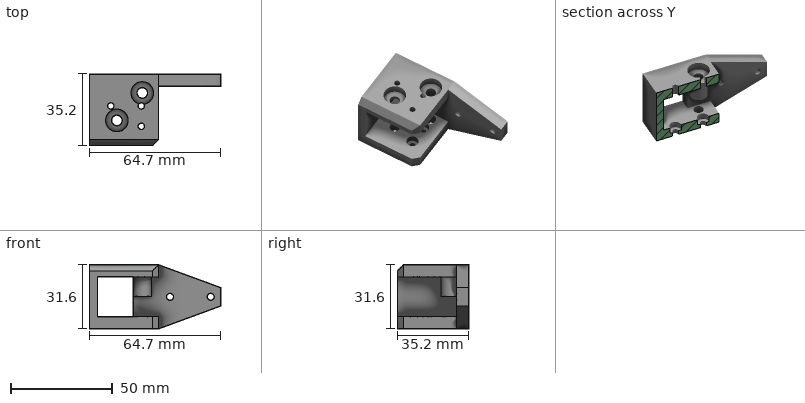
import cadquery as cq

BODY_LENGTH = 34.0
BODY_DEPTH = 35.2
BODY_HEIGHT = 31.6
PLATE_THICKNESS = 6.0
SIDE_WALL_THICKNESS = 4.0
BACK_WALL_THICKNESS = 6.0
CHAMFER = 3.0

TOTAL_LENGTH = 64.65
ARM_END_HEIGHT = 9.1
ARM_HOLE_DIAMETER = 3.3
ARM_HOLE_END_MARGIN = 5.0
ARM_HOLE_SPACING = 20.0

REAR_SHAFT = (26.0, 25.9)
FRONT_SHAFT = (13.5, 12.4)
SHAFT_HOLE_DIAMETER = 5.1
BEARING_DIAMETER = 11.1
BEARING_DEPTH = 4.2
SHAFT_BOSS_DIAMETER = 9.0
SHAFT_BOSS_BOTTOM_Z = 16.0

SCREW_CORNER = (25.5, 19.5)
SCREW_SPACING_X = 15.0
SCREW_SPACING_Y = 10.0
SCREW_DIAMETER = 3.0
SCREW_HEAD_DIAMETER = 6.0
SCREW_HEAD_DEPTH = 3.4

MID_HEIGHT = BODY_HEIGHT / 2
UPPER_PLATE_Z = BODY_HEIGHT - PLATE_THICKNESS
BACK_WALL_Y = BODY_DEPTH - BACK_WALL_THICKNESS
POST_START_X = REAR_SHAFT[0] - SHAFT_BOSS_DIAMETER / 2
SCREW_POINTS = [
    SCREW_CORNER,
    (SCREW_CORNER[0] - SCREW_SPACING_X, SCREW_CORNER[1]),
    (SCREW_CORNER[0], SCREW_CORNER[1] - SCREW_SPACING_Y),
]


def box_between(low, high):
    """Box spanning two opposite corners."""
    size = [end - start for start, end in zip(low, high)]
    return cq.Workplane("XY").box(*size, centered=False).translate(low)


def vertical_cylinders(points, diameter, bottom_z, top_z):
    """Upright cylinders on the given XY centres."""
    plane = cq.Workplane("XY").workplane(offset=bottom_z)
    return plane.pushPoints(points).circle(diameter / 2).extrude(top_z - bottom_z)


def make_body():
    """Block with chamfered front edges, hollowed between the two plates."""
    body = box_between((0, 0, 0), (BODY_LENGTH, BODY_DEPTH, BODY_HEIGHT))
    body = body.edges("|Z and >X and <Y").chamfer(CHAMFER)

    edge_wedge = (
        cq.Workplane("YZ")
        .moveTo(0, BODY_HEIGHT)
        .lineTo(CHAMFER, BODY_HEIGHT)
        .lineTo(0, BODY_HEIGHT - CHAMFER)
        .close()
        .extrude(BODY_LENGTH)
    )
    interior = box_between(
        (SIDE_WALL_THICKNESS, 0, PLATE_THICKNESS),
        (BODY_LENGTH, BACK_WALL_Y, UPPER_PLATE_Z),
    )
    back_window = box_between(
        (SIDE_WALL_THICKNESS, BACK_WALL_Y, PLATE_THICKNESS),
        (POST_START_X, BODY_DEPTH, UPPER_PLATE_Z),
    )
    return body.cut(edge_wedge).cut(interior).cut(back_window)


def make_arm():
    """Symmetric tapered plate with two cross holes on its centreline."""
    half_end = ARM_END_HEIGHT / 2
    outer_hole_x = TOTAL_LENGTH - ARM_HOLE_END_MARGIN
    hole_points = [
        (outer_hole_x, MID_HEIGHT),
        (outer_hole_x - ARM_HOLE_SPACING, MID_HEIGHT),
    ]
    back_plane = cq.Workplane("XZ", origin=(0, BODY_DEPTH, 0))
    arm = (
        back_plane
        .moveTo(BODY_LENGTH, 0)
        .lineTo(TOTAL_LENGTH, MID_HEIGHT - half_end)
        .lineTo(TOTAL_LENGTH, MID_HEIGHT + half_end)
        .lineTo(BODY_LENGTH, BODY_HEIGHT)
        .close()
        .extrude(BACK_WALL_THICKNESS)
    )
    holes = (
        back_plane
        .pushPoints(hole_points)
        .circle(ARM_HOLE_DIAMETER / 2)
        .extrude(BACK_WALL_THICKNESS)
    )
    return arm.cut(holes)


def make_shaft_boss():
    """Round boss under the upper plate around the rear shaft, merging into the back wall."""
    return vertical_cylinders(
        [REAR_SHAFT], SHAFT_BOSS_DIAMETER, SHAFT_BOSS_BOTTOM_Z, UPPER_PLATE_Z
    )


def cut_shaft_holes(part):
    """Through holes for the shafts, with bearing pockets from above."""
    shafts = [REAR_SHAFT, FRONT_SHAFT]
    through_holes = vertical_cylinders(shafts, SHAFT_HOLE_DIAMETER, 0, BODY_HEIGHT)
    pockets = vertical_cylinders(
        shafts, BEARING_DIAMETER, BODY_HEIGHT - BEARING_DEPTH, BODY_HEIGHT
    )
    return part.cut(through_holes).cut(pockets)


def cut_screw_holes(part):
    """Screw holes through both plates, counterbored inside the lower plate."""
    through_holes = vertical_cylinders(SCREW_POINTS, SCREW_DIAMETER, 0, BODY_HEIGHT)
    head_recesses = vertical_cylinders(
        SCREW_POINTS,
        SCREW_HEAD_DIAMETER,
        PLATE_THICKNESS - SCREW_HEAD_DEPTH,
        PLATE_THICKNESS,
    )
    return part.cut(through_holes).cut(head_recesses)


bracket = make_body().union(make_arm()).union(make_shaft_boss())
bracket = cut_shaft_holes(bracket)
result = cut_screw_holes(bracket)